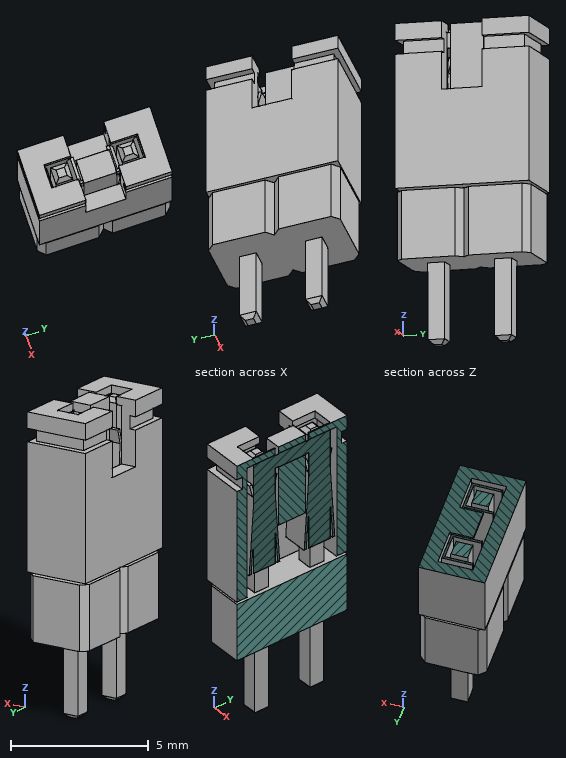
import cadquery as cq
import math


pitch = 2.54
body_width = 2.54
body_length = 5.08
base_height = 2.54
base_chamfer = 0.26
pin_side = 0.65
pin_tip_chamfer = 0.16
pin_tail = 3.0
pin_top_depth = 0.18
total_height = 11.74

base_gap = 0.09
housing_bottom = pin_tail + base_height + base_gap
groove_depth = 0.25
groove_height = 0.5
rim_height = 0.63
slot_width = 1.53
slot_depth = 2.54
ceiling = 0.32
cavity_width = 1.31
cavity_length = 4.11
window_width = 0.89
window_end = 1.78
block_width = 1.26
block_front = -0.23
block_depth = 3.52

sheet = 0.1
contact_half_width = 0.59
strap_height = 0.58
spring_thickness = 0.12
spring_tip = (0.63, total_height - 1.23)
spring_waist = (0.77, total_height - 1.77)
spring_foot = (0.55, total_height - 5.17)
flare_end = 0.41


def box(x_range, y_range, z_range):
    """Box between the given limits on each axis."""
    (x0, x1), (y0, y1), (z0, z1) = x_range, y_range, z_range
    return cq.Workplane("XY").box(x1 - x0, y1 - y0, z1 - z0, centered=False).translate((x0, y0, z0))


def centered_box(width, length, z_range):
    """Box centred on the Z axis."""
    return box((-width / 2, width / 2), (-length / 2, length / 2), z_range)


def make_pin(y):
    pin = centered_box(pin_side, pin_side, (0, total_height - pin_top_depth))
    return pin.faces("<Z or >Z").chamfer(pin_tip_chamfer).translate((0, y, 0))


def make_header():
    half_width = body_width / 2
    base = centered_box(body_width, body_length, (pin_tail, pin_tail + base_height))
    base = base.edges("|Z").chamfer(base_chamfer)
    for side in (-1, 1):
        notch = (
            cq.Workplane("XY", origin=(0, 0, pin_tail))
            .moveTo(side * half_width, -base_chamfer)
            .lineTo(side * (half_width - base_chamfer), 0)
            .lineTo(side * half_width, base_chamfer)
            .close()
            .extrude(base_height)
        )
        base = base.cut(notch)
        base = base.union(make_pin(side * pitch / 2))
    return base


strap_top = total_height - ceiling
panel_inner = slot_width / 2
panel_outer = pitch - panel_inner
back_range = (contact_half_width - sheet, contact_half_width)


def make_strap():
    return box(back_range, (-panel_inner, panel_inner), (strap_top - strap_height, strap_top))


def make_housing():
    housing = centered_box(body_width, body_length, (housing_bottom, total_height))

    groove_top = total_height - rim_height
    groove_range = (groove_top - groove_height, groove_top)
    core = centered_box(body_width - 2 * groove_depth, body_length - 2 * groove_depth, groove_range)
    housing = housing.cut(centered_box(body_width, body_length, groove_range).cut(core))

    housing = housing.cut(centered_box(body_width, slot_width, (total_height - slot_depth, total_height)))
    housing = housing.cut(centered_box(cavity_width, cavity_length, (housing_bottom, strap_top)))
    housing = housing.cut(centered_box(window_width, 2 * window_end, (strap_top, total_height)))

    block = box(
        (block_front, cavity_width / 2),
        (-block_width / 2, block_width / 2),
        (total_height - block_depth, total_height),
    )
    return housing.union(block.cut(make_strap()))


def extrude_profile(points, x_start, x_end):
    """Extrude a (y, z) polygon along X."""
    return cq.Workplane("YZ", origin=(x_start, 0, 0)).polyline(points).close().extrude(x_end - x_start)


def make_spring():
    """Spring on the inner side of the +Y pin: a free flared tip above a leg joined to the panel."""
    rise = spring_tip[1] - spring_waist[1]
    lean = spring_waist[0] - spring_tip[0]
    flare_length = math.hypot(rise, lean)
    tip_pin_side = (
        spring_tip[0] + spring_thickness * rise / flare_length,
        spring_tip[1] + spring_thickness * lean / flare_length,
    )
    waist_pin_side = (spring_waist[0] + spring_thickness, spring_waist[1])
    foot_pin_side = (spring_foot[0] + spring_thickness, spring_foot[1])
    flare = extrude_profile(
        [spring_tip, spring_waist, waist_pin_side, tip_pin_side], -contact_half_width, flare_end
    )
    leg = extrude_profile(
        [spring_waist, spring_foot, foot_pin_side, waist_pin_side], -contact_half_width, contact_half_width
    )
    return flare.union(leg)


def make_contact():
    panel = box(back_range, (panel_inner, panel_outer), (spring_foot[1], strap_top))
    inner_spring = make_spring()
    outer_spring = inner_spring.mirror("XZ", (0, pitch / 2, 0))
    pin_clip = panel.union(inner_spring).union(outer_spring)
    return make_strap().union(pin_clip).union(pin_clip.mirror("XZ"))


header = make_header().solids()
housing = make_housing().solids()
contact = make_contact().solids()

result = cq.Compound.makeCompound([header.val(), housing.val(), contact.val()])